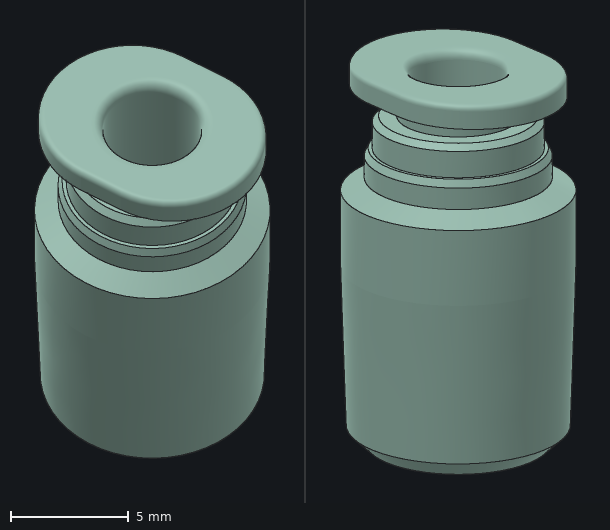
import cadquery as cq

total_height = 17.0
base_chamfer_top = 0.78
taper_top = 8.0
body_top = 11.42
shoulder_top = 12.0
collar_top = 13.31
sleeve_top = 14.77
flange_thickness = 1.09
flange_bottom = total_height - flange_thickness

body_radius = 5.0
taper_bottom_radius = 4.76
base_radius = 3.95
collar_radius = 4.0
sleeve_radius = 3.65
neck_radius = 2.62

collar_chamfer_width = 0.17
collar_chamfer_height = 0.34
sleeve_chamfer = 0.27
flange_edge_radius = 0.29
neck_flare = 0.08

flange_end_radius = collar_radius
flange_length = 2 * body_radius

bore_radius = 2.09
bore_mouth_radius = 0.5
bore_depth = 11.9


def make_body():
    """Revolve the stepped outer profile, from the base up to the flange."""
    return (
        cq.Workplane("XZ")
        .lineTo(base_radius, 0)
        .lineTo(taper_bottom_radius, base_chamfer_top)
        .lineTo(body_radius, taper_top)
        .lineTo(body_radius, body_top)
        .lineTo(collar_radius, shoulder_top)
        .lineTo(collar_radius, collar_top - collar_chamfer_height)
        .lineTo(collar_radius - collar_chamfer_width, collar_top)
        .lineTo(sleeve_radius, collar_top)
        .lineTo(sleeve_radius, sleeve_top - sleeve_chamfer)
        .lineTo(sleeve_radius - sleeve_chamfer, sleeve_top)
        .lineTo(neck_radius, sleeve_top)
        .lineTo(neck_radius, flange_bottom - neck_flare)
        .lineTo(neck_radius + neck_flare, flange_bottom)
        .lineTo(0, flange_bottom)
        .close()
        .revolve(360, (0, 0), (0, 1))
    )


def make_flange():
    """Build the oblong flange with a rounded top rim."""
    return (
        cq.Workplane("XY", origin=(0, 0, flange_bottom))
        .slot2D(flange_length, 2 * flange_end_radius)
        .extrude(flange_thickness)
        .faces(">Z")
        .edges()
        .fillet(flange_edge_radius)
    )


def cut_socket(part):
    """Cut the blind tube socket and round its mouth."""
    top_plane = part.faces(">Z").workplane(origin=(0, 0, total_height))
    bored = top_plane.circle(bore_radius).cutBlind(-bore_depth)
    mouth_zone = cq.selectors.BoxSelector(
        (-bore_radius, -bore_radius, total_height - flange_edge_radius / 2),
        (bore_radius, bore_radius, total_height + flange_edge_radius / 2),
        boundingbox=False,
    )
    return bored.faces(">Z").edges(mouth_zone).fillet(bore_mouth_radius)


result = cut_socket(make_body().union(make_flange()))